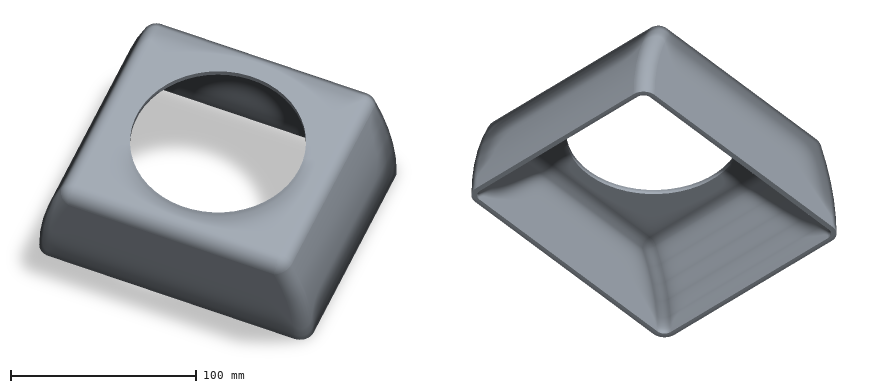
import cadquery as cq
import math

length = 160.0
top_length = 130.0
width = 130.0
height = 60.0

edge_radius = 8.0
wall = 3.0
hole_diameter = 95.0

inset = (length - top_length) / 2
end_radius = (height**2 + inset**2) / (2 * inset)


def half_length(z):
    """Distance from the middle of the part to its curved end wall at height z."""
    return length / 2 - end_radius + math.sqrt(end_radius**2 - z**2)


def make_body():
    """Solid block with curved end walls, rounded on every edge except those of the base."""
    base_x = length / 2
    top_x = top_length / 2
    middle_z = height / 2
    middle_x = half_length(middle_z)
    body = (
        cq.Workplane("XZ")
        .moveTo(-base_x, 0)
        .lineTo(base_x, 0)
        .threePointArc((middle_x, middle_z), (top_x, height))
        .lineTo(-top_x, height)
        .threePointArc((-middle_x, middle_z), (-base_x, 0))
        .close()
        .extrude(width / 2, both=True)
    )
    return body.edges("not(<Z)").fillet(edge_radius)


def hollow(body):
    """Leave a wall of even thickness, open at the base."""
    return body.faces("<Z").shell(-wall)


def cut_top_hole(body):
    """Cut the round opening through the top wall."""
    cutter = cq.Workplane("XY").circle(hole_diameter / 2).extrude(height)
    return body.cut(cutter)


result = cut_top_hole(hollow(make_body()))